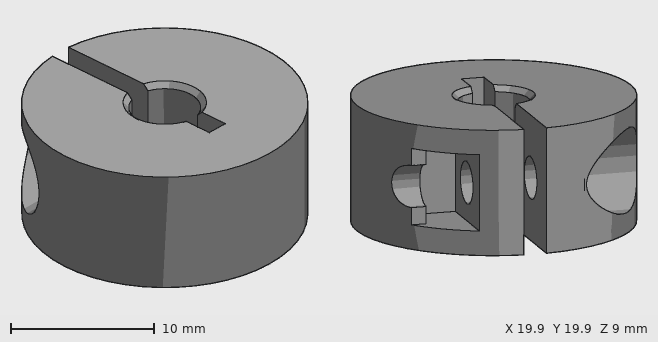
import cadquery as cq

body_diameter = 19.93
body_height = 9.0

bore_diameter = 5.0
bore_chamfer = 0.4

slit_width = 1.63
slit_end_x = 5.0

screw_x = -6.14
screw_z = body_height / 2
screw_diameter = 3.0
head_diameter = 6.0
seat_offset = 3.83

nut_width = 5.48
nut_thickness = 2.95


def make_body():
    return cq.Workplane("XY").circle(body_diameter / 2).extrude(body_height)


def make_bore():
    radius = bore_diameter / 2
    hole = cq.Workplane("XY").circle(radius).extrude(body_height)
    lead_in = cq.Solid.makeCone(
        radius, radius + bore_chamfer, bore_chamfer, pnt=cq.Vector(0, 0, body_height - bore_chamfer)
    )
    return hole.union(lead_in)


def make_box(x_min, x_max, y_min, y_max, z_min, z_max):
    """Box given by its limits along each axis."""
    size = (x_max - x_min, y_max - y_min, z_max - z_min)
    return cq.Workplane("XY").box(*size, centered=False).translate((x_min, y_min, z_min))


def make_slit():
    half_width = slit_width / 2
    return make_box(-body_diameter / 2, slit_end_x, -half_width, half_width, 0, body_height)


def make_screw_cylinder(diameter, y_start, y_end):
    """Cylinder around the screw axis, between two places along Y."""
    direction = cq.Vector(0, 1, 0)
    start = cq.Vector(screw_x, y_start, screw_z)
    return cq.Solid.makeCylinder(diameter / 2, y_end - y_start, start, direction)


def make_nut_pocket():
    rim = body_diameter / 2
    half_width = nut_width / 2
    z_limits = (screw_z - half_width, screw_z + half_width)
    seat = make_box(-rim, screw_x + half_width, seat_offset, seat_offset + nut_thickness, *z_limits)
    runout = make_box(-rim, screw_x, seat_offset, rim, *z_limits)
    return seat.union(runout)


result = (
    make_body()
    .cut(make_bore())
    .cut(make_slit())
    .cut(make_screw_cylinder(screw_diameter, -body_diameter / 2, body_diameter / 2))
    .cut(make_screw_cylinder(head_diameter, -body_diameter / 2, -seat_offset))
    .cut(make_nut_pocket())
)